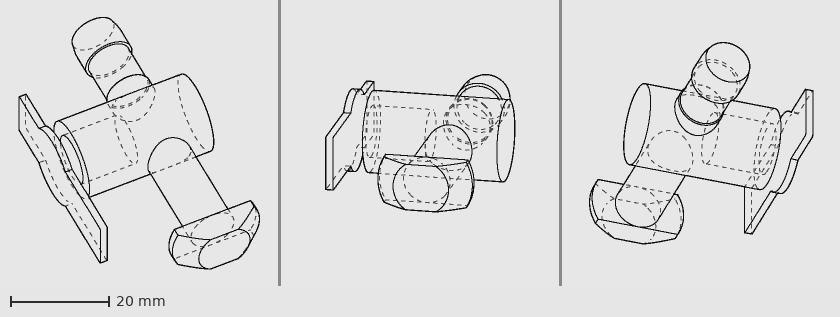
import cadquery as cq
import math


barrel_diameter = 16.85
barrel_radius = barrel_diameter / 2
barrel_back = 10.05
barrel_length = 28.1
barrel_front = barrel_back - barrel_length
bore_radius = 5.3
bore_depth = 12.35

pin_length = 61.7
pin_start = -27.45
pin_end = pin_start + pin_length
shank_diameter = 9.75
shank_radius = shank_diameter / 2
barb_radius = 5.25
barb_tip_radius = 4.75
barb_nose_length = 3.0
barb_length = 7.45
neck_radius = 4.6
neck_end = 16.3
neck_step = shank_radius - neck_radius

head_radius = 9.9
head_length = 5.6
head_rim_length = 1.65
head_tip_radius = 5.8
head_thickness = shank_diameter
head_start = pin_end - head_length

plate_left = -15.55
plate_right = 22.75
plate_height = 11.35
plate_thickness = 1.55
plate_gap = 2.9
plate_corner_radius = 0.45
plate_back = barrel_front - plate_gap


def cylinder_toward_front(radius, back, length):
    """Cylinder on the Y axis running from y = back toward -Y."""
    return cq.Workplane("XZ", origin=(0, back, 0)).circle(radius).extrude(length)


def make_shank():
    """Round pin with a rounded barb, a reduced neck and a plain shank."""
    barb_nose_end = pin_start + barb_nose_length
    barb_end = pin_start + barb_length
    step_start = pin_start + neck_end

    nose_drop = barb_radius - barb_tip_radius
    nose_arc_radius = (barb_nose_length**2 + nose_drop**2) / (2 * nose_drop)
    half_angle = math.asin(barb_nose_length / nose_arc_radius) / 2
    nose_middle = (
        barb_nose_end - nose_arc_radius * math.sin(half_angle),
        barb_radius - nose_arc_radius * (1 - math.cos(half_angle)),
    )
    return (
        cq.Workplane("XY")
        .moveTo(pin_start, 0)
        .lineTo(pin_start, barb_tip_radius)
        .threePointArc(nose_middle, (barb_nose_end, barb_radius))
        .lineTo(barb_end, barb_radius)
        .lineTo(barb_end, neck_radius)
        .lineTo(step_start, neck_radius)
        .lineTo(step_start + neck_step, shank_radius)
        .lineTo(head_start, shank_radius)
        .lineTo(head_start, 0)
        .close()
        .revolve(360, (0, 0, 0), (1, 0, 0))
    )


def make_head():
    """Conical head cut by two flats level with the shank."""
    round_head = (
        cq.Workplane("XY")
        .moveTo(head_start, 0)
        .lineTo(head_start, head_radius)
        .lineTo(head_start + head_rim_length, head_radius)
        .lineTo(pin_end, head_tip_radius)
        .lineTo(pin_end, 0)
        .close()
        .revolve(360, (0, 0, 0), (1, 0, 0))
    )
    flat_slab = cq.Workplane("XY", origin=(head_start, 0, 0)).box(
        head_length, 2 * head_radius, head_thickness, centered=(False, True, True)
    )
    return round_head.intersect(flat_slab)


def make_bore():
    """Blind bore in the front end of the barrel."""
    return cylinder_toward_front(bore_radius, barrel_front + bore_depth, bore_depth)


def make_coupling():
    """Barrel and cross pin in one piece."""
    barrel = cylinder_toward_front(barrel_radius, barrel_back, barrel_length)
    return barrel.union(make_shank()).union(make_head()).cut(make_bore())


def make_plate():
    """Rectangular plate with rounded corners and a disc in line with the barrel."""
    bar = (
        cq.Workplane("XZ", origin=(0, plate_back, 0))
        .center((plate_left + plate_right) / 2, 0)
        .rect(plate_right - plate_left, plate_height)
        .extrude(plate_thickness)
        .edges("|Y")
        .fillet(plate_corner_radius)
    )
    disc = cylinder_toward_front(barrel_radius, plate_back, plate_thickness)
    return bar.union(disc)


coupling = make_coupling()
plate = make_plate()
result = cq.Compound.makeCompound([coupling.val(), plate.val()])